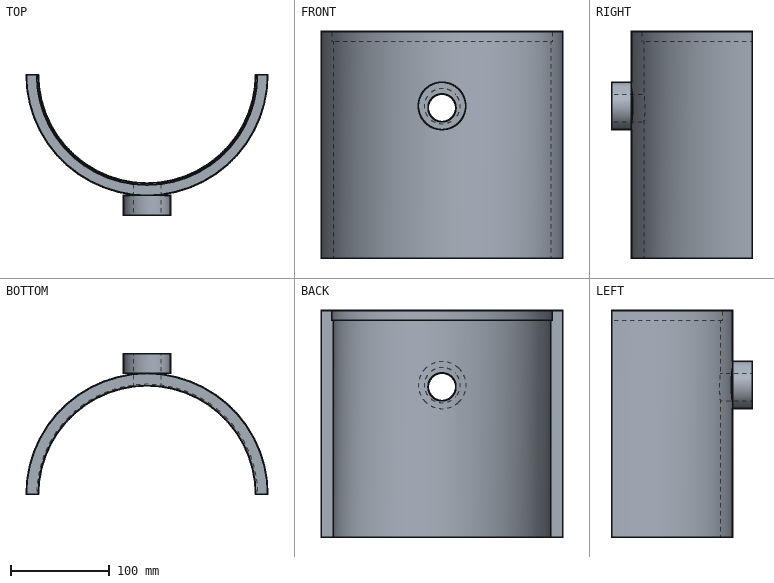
import cadquery as cq

outer_radius = 122.5
wall = 12.5
height = 230.0

step_depth = 10.0
step_width = 2.0

boss_diameter = 48.0
boss_length = 20.0
boss_drop = 75.5
neck_diameter = 36.0
hole_diameter = 28.0
hole_offset = 2.0

boss_reach = outer_radius + boss_length
inner_radius = outer_radius - wall
boss_z = height - boss_drop
hole_z = boss_z - hole_offset


def half_cylinder(radius, length, base_z):
    """Solid half cylinder on the -Y side of the Z axis."""
    return (
        cq.Workplane("XY", origin=(0, 0, base_z))
        .moveTo(-radius, 0)
        .threePointArc((0, -radius), (radius, 0))
        .close()
        .extrude(length)
    )


def radial_cylinder(diameter, z, start, end):
    """Cylinder along -Y between two distances from the shell axis."""
    return cq.Workplane("XZ", origin=(0, -start, z)).circle(diameter / 2).extrude(end - start)


shell = half_cylinder(outer_radius, height, 0)
boss = radial_cylinder(boss_diameter, boss_z, outer_radius, boss_reach)
neck = radial_cylinder(neck_diameter, boss_z, inner_radius, boss_reach)
bore = half_cylinder(inner_radius, height, 0)
step = half_cylinder(inner_radius + step_width, step_depth, height - step_depth)
hole = radial_cylinder(hole_diameter, hole_z, 0, boss_reach)

result = shell.union(neck).union(boss).cut(bore).cut(step).cut(hole)